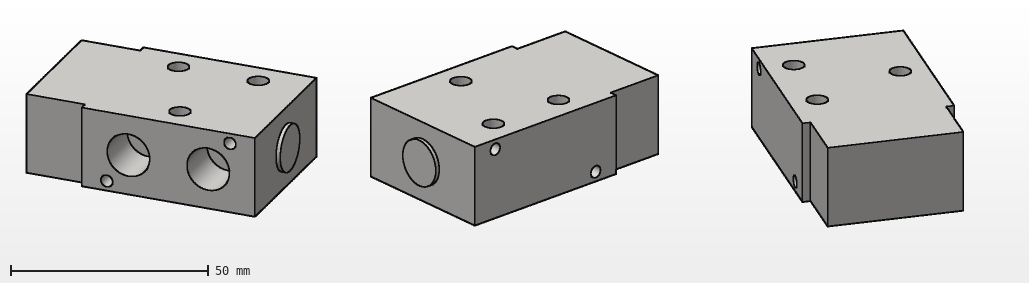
import cadquery as cq

total_length = 65.0
width = 40.0
height = 22.0
neck_length = 16.1
neck_width = 35.75

button_thickness = 1.2
button_diameter = 12.7

mount_diameter = 5.5
mount_offset_y = 12.5

port_diameter = 11.7
port_depth = 13.0
port_spacing = 22.0
port_center_x = 40.0

pin_hole_diameter = 3.25
pin_hole_spacing_x = 33.9
pin_hole_offset_z = 8.25

housing_length = total_length - button_thickness
block_length = housing_length - neck_length
front_y = -width / 2
sides = (-1, 1)


def make_body():
    """Neck and wide block as one piece, centred on Y and Z, starting at X = 0."""
    neck = cq.Workplane("XY").box(neck_length, neck_width, height, centered=(False, True, True))
    block = (
        cq.Workplane("XY")
        .box(block_length, width, height, centered=(False, True, True))
        .translate((neck_length, 0, 0))
    )
    return neck.union(block)


def make_mount_holes():
    """Three vertical through holes in a triangle."""
    centers = [(port_center_x + side * port_spacing / 2, mount_offset_y) for side in sides]
    centers.append((port_center_x, -mount_offset_y))
    return (
        cq.Workplane("XY", origin=(0, 0, -height / 2))
        .pushPoints(centers)
        .circle(mount_diameter / 2)
        .extrude(height)
    )


def make_front_holes(centers, diameter, depth):
    """Cylinders going from the front face toward +Y at the given (x, z) centers."""
    return (
        cq.Workplane("XZ", origin=(0, front_y, 0))
        .pushPoints(centers)
        .circle(diameter / 2)
        .extrude(-depth)
    )


def make_housing():
    port_centers = [(port_center_x + side * port_spacing / 2, 0) for side in sides]
    pin_centers = [
        (port_center_x + side * pin_hole_spacing_x / 2, side * pin_hole_offset_z)
        for side in sides
    ]
    return (
        make_body()
        .cut(make_mount_holes())
        .cut(make_front_holes(port_centers, port_diameter, port_depth))
        .cut(make_front_holes(pin_centers, pin_hole_diameter, width))
    )


def make_button():
    """Flat disc resting on the +X end face of the housing."""
    return (
        cq.Workplane("YZ", origin=(housing_length, 0, 0))
        .circle(button_diameter / 2)
        .extrude(button_thickness)
    )


housing = make_housing()
button = make_button()
result = cq.Compound.makeCompound([housing.val(), button.val()])